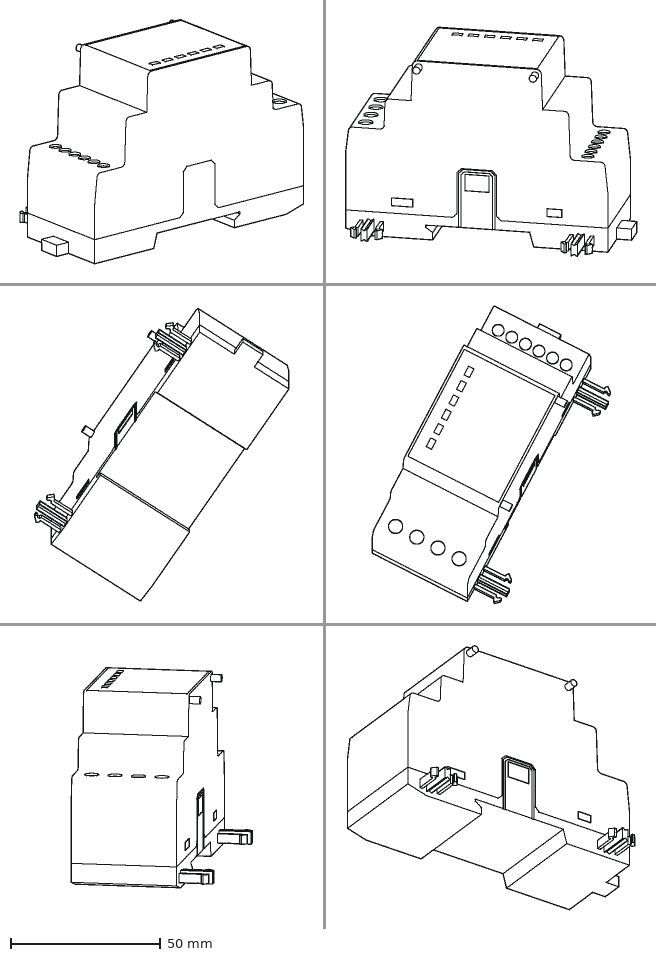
import cadquery as cq
import math


WIDTH = 35.9
HALF_LENGTH = 44.9
HEIGHT = 63.0
SEAM_Z = 8.55

TOP_HALF = 22.0
SHOULDER_Z = 48.8
SHOULDER_HALF = 31.4
BACK_STEP_Z = 38.0
BACK_STEP_Y = 43.9
BACK_WALL_Z = 29.4
FRONT_STEP_Z = 31.7
FRONT_STEP_Y = -43.8
FRONT_WALL_Z = 20.8
DRAFT = math.tan(math.radians(2))
TOP_ROUND = 1.7
STEP_ROUND = 1.5

HOLE_DEPTH = 0.8
BACK_HOLES = 4
BACK_HOLE_RADIUS = 2.4
BACK_HOLE_PITCH = 8.0
BACK_HOLE_Y = 39.3
FRONT_HOLES = 6
FRONT_HOLE_RADIUS = 2.0
FRONT_HOLE_PITCH = 5.1
FRONT_HOLE_Y = -37.0

PIN_RADIUS = 1.2
PIN_LENGTH = 3.5
PIN_Y = 19.95
PIN_Z = 60.8
MARK_RISE = 0.2
MARK_BOTTOM_Z = 11.2
MARK_HEIGHT = 2.8
BACK_MARK_Y = 25.6
BACK_MARK_LENGTH = 7.2
FRONT_MARK_Y = -26.6
FRONT_MARK_LENGTH = 5.0

PANEL_MARGIN = 0.9
PANEL_HALF = 20.5
PANEL_THICKNESS = 0.95
LIGHTS = 6
LIGHT_PITCH = 5.5
LIGHT_LENGTH = 3.3
LIGHT_WIDTH = 2.0
LIGHT_X = 30.1
LIGHT_ROW_Y = -0.7

SLOT_Z = 5.1
BACK_LIP_Y = 15.1
BACK_LIP_Z = 2.7
SLOT_BACK_Y = 17.6
UNDERCUT_Z = 4.4
SLOT_FRONT_Y = -18.05
FRONT_FOOT_Y = -19.5
BEVEL_Y = 37.4
BEVEL_Z = 2.1
TONGUE_HALF = 6.7
TONGUE_TOP_Z = 26.0
TONGUE_CHAMFER = 1.5
GROOVE_HALF = 6.3
GROOVE_TOP_Z = 25.7
GROOVE_WIDTH = 0.9
GROOVE_DEPTH = 0.2
WINDOW_LENGTH = 8.3
WINDOW_BOTTOM_Z = 18.2
WINDOW_HEIGHT = 5.8
WINDOW_DEPTH = 0.2
TAB_WIDTH = 8.1
TAB_REACH = 95 - 2 * HALF_LENGTH
TAB_HEIGHT = 4.0

CONNECTOR_Y = 36.0
CONNECTOR_Z = 3.8
BLADE_OFFSET = 0.3
BLADE_REACH = 10.9
BLADE_WIDTH = 2.2
BLADE_HEIGHT = 4.3
BLADE_FLAT = 0.2
BLADE_NOTCH = 0.6
HOOK_HEIGHT = 3.1
ARM_INNER = 2.9
ARM_OUTER = 4.1


def side_plane(x=0):
    """Sketch plane at x whose axes are Y and Z, so that extrusions run along +X."""
    return cq.Workplane("YZ", origin=(x, 0, 0))


def tongue_outline(half, top_z, bottom_z, chamfer):
    """Upright strip centred on Y with its two upper corners chamfered."""
    return [
        (-half, bottom_z),
        (-half, top_z - chamfer),
        (-half + chamfer, top_z),
        (half - chamfer, top_z),
        (half, top_z - chamfer),
        (half, bottom_z),
    ]


def seam_outline():
    """Upper edge of the base from -Y to +Y: flat seam, flared tongue, flat seam."""
    flare = TONGUE_HALF + TONGUE_CHAMFER
    tongue = tongue_outline(TONGUE_HALF, TONGUE_TOP_Z, SEAM_Z + TONGUE_CHAMFER, TONGUE_CHAMFER)
    return [(-HALF_LENGTH, SEAM_Z), (-flare, SEAM_Z), *tongue, (flare, SEAM_Z), (HALF_LENGTH, SEAM_Z)]


def raised_mark(center_y, length):
    """Low rectangular pad on the connector side of the housing."""
    center_z = MARK_BOTTOM_Z + MARK_HEIGHT / 2
    return side_plane().center(center_y, center_z).rect(length, MARK_HEIGHT).extrude(-MARK_RISE)


def round_edges(body, places, radius):
    """Round the X-direction edges that pass through the given (y, z) places."""
    for y, z in places:
        edge = cq.selectors.NearestToPointSelector((WIDTH / 2, y, z))
        body = body.edges("|X").edges(edge).fillet(radius)
    return body


def hole_row(count, pitch, y, top_z, radius):
    """Row of shallow screw holes across the module, sunk from a step."""
    return (
        cq.Workplane("XY", origin=(WIDTH / 2, y, top_z - HOLE_DEPTH))
        .rarray(pitch, 0.95, count, 1)
        .circle(radius)
        .extrude(HOLE_DEPTH)
    )


def make_panel_blank():
    panel_width = WIDTH - 2 * PANEL_MARGIN
    return cq.Workplane("XY", origin=(WIDTH / 2, 0, HEIGHT - PANEL_THICKNESS)).rect(
        panel_width, 2 * PANEL_HALF
    ).extrude(PANEL_THICKNESS)


def make_housing():
    top_foot = TOP_HALF + DRAFT * (HEIGHT - SHOULDER_Z)
    back_corner = (SHOULDER_HALF + DRAFT * (SHOULDER_Z - BACK_STEP_Z), BACK_STEP_Z)
    front_corner = (-SHOULDER_HALF - DRAFT * (SHOULDER_Z - FRONT_STEP_Z), FRONT_STEP_Z)
    step_edges = [
        (BACK_STEP_Y, BACK_STEP_Z),
        back_corner,
        (SHOULDER_HALF, SHOULDER_Z),
        (-SHOULDER_HALF, SHOULDER_Z),
        front_corner,
        (FRONT_STEP_Y, FRONT_STEP_Z),
    ]
    top_edges = [(TOP_HALF, HEIGHT), (-TOP_HALF, HEIGHT)]
    outline = [
        *seam_outline(),
        (HALF_LENGTH, BACK_WALL_Z),
        *step_edges[:3],
        (top_foot, SHOULDER_Z),
        *top_edges,
        (-top_foot, SHOULDER_Z),
        *step_edges[3:],
        (-HALF_LENGTH, FRONT_WALL_Z),
    ]
    housing = side_plane().polyline(outline).close().extrude(WIDTH)
    housing = round_edges(housing, step_edges, STEP_ROUND)
    housing = round_edges(housing, top_edges, TOP_ROUND)

    pins = side_plane().pushPoints([(PIN_Y, PIN_Z), (-PIN_Y, PIN_Z)]).circle(PIN_RADIUS).extrude(-PIN_LENGTH)
    return (
        housing.union(pins)
        .union(raised_mark(BACK_MARK_Y, BACK_MARK_LENGTH))
        .union(raised_mark(FRONT_MARK_Y, FRONT_MARK_LENGTH))
        .cut(make_panel_blank())
        .cut(hole_row(BACK_HOLES, BACK_HOLE_PITCH, BACK_HOLE_Y, BACK_STEP_Z, BACK_HOLE_RADIUS))
        .cut(hole_row(FRONT_HOLES, FRONT_HOLE_PITCH, FRONT_HOLE_Y, FRONT_STEP_Z, FRONT_HOLE_RADIUS))
    )


def make_blade():
    """Connector blade with a V groove along its top and its bottom, set slightly towards +Y."""
    side = BLADE_WIDTH / 2
    top = BLADE_HEIGHT / 2
    shoulder = side - BLADE_FLAT
    valley = top - BLADE_NOTCH
    outline = [
        (-side, -top),
        (-shoulder, -top),
        (0, -valley),
        (shoulder, -top),
        (side, -top),
        (side, top),
        (shoulder, top),
        (0, valley),
        (-shoulder, top),
        (-side, top),
    ]
    return side_plane().center(BLADE_OFFSET, 0).polyline(outline).close().extrude(-BLADE_REACH)


def make_hook():
    """Connector arm on the +Y side of its blade, ending in an outward barb with a notch behind it."""
    outline = [
        (0, ARM_INNER),
        (-7.9, ARM_INNER),
        (-8.3, 3.6),
        (-8.9, 3.6),
        (-9.3, 3.2),
        (-10.0, 3.2),
        (-10.0, 4.0),
        (-8.4, 5.4),
        (-7.6, 4.7),
        (-7.6, ARM_OUTER),
        (0, ARM_OUTER),
    ]
    return cq.Workplane("XY").polyline(outline).close().extrude(HOOK_HEIGHT / 2, both=True)


def make_connector():
    hook = make_hook()
    return make_blade().add(hook).add(hook.mirror("XZ"))


def cut_tongue_details(base):
    """Groove that follows the tongue edge down to the rail slot, and the window inside it."""
    outer = tongue_outline(GROOVE_HALF, GROOVE_TOP_Z, SLOT_Z, TONGUE_CHAMFER)
    inner = tongue_outline(
        GROOVE_HALF - GROOVE_WIDTH, GROOVE_TOP_Z - GROOVE_WIDTH, SLOT_Z, TONGUE_CHAMFER - GROOVE_WIDTH / 2
    )
    groove = side_plane().polyline(outer).close().extrude(GROOVE_DEPTH)
    groove = groove.cut(side_plane().polyline(inner).close().extrude(GROOVE_DEPTH))
    window_center_z = WINDOW_BOTTOM_Z + WINDOW_HEIGHT / 2
    window = side_plane().center(0, window_center_z).rect(WINDOW_LENGTH, WINDOW_HEIGHT).extrude(WINDOW_DEPTH)
    return base.cut(groove).cut(window)


def make_base():
    outline = [
        *seam_outline(),
        (HALF_LENGTH, BEVEL_Z),
        (BEVEL_Y, 0),
        (BACK_LIP_Y, 0),
        (BACK_LIP_Y, BACK_LIP_Z),
        (SLOT_BACK_Y, UNDERCUT_Z),
        (SLOT_BACK_Y, SLOT_Z),
        (SLOT_FRONT_Y, SLOT_Z),
        (FRONT_FOOT_Y, 0),
        (-HALF_LENGTH, 0),
    ]
    base = side_plane().polyline(outline).close().extrude(WIDTH)
    base = cut_tongue_details(base)

    tab = cq.Workplane("XY").box(TAB_WIDTH, TAB_REACH, TAB_HEIGHT, centered=(True, False, False))
    base = base.union(tab.translate((WIDTH / 2, -HALF_LENGTH - TAB_REACH, 0)))
    for y in (CONNECTOR_Y, -CONNECTOR_Y):
        for piece in make_connector().vals():
            base = base.union(cq.Workplane(piece.translate(cq.Vector(0, y, CONNECTOR_Z))))
    return base


def make_light(index):
    """One light window, set flush into the panel and as deep as the panel is thick."""
    y = LIGHT_ROW_Y + (index - (LIGHTS - 1) / 2) * LIGHT_PITCH
    return (
        cq.Workplane("XY", origin=(LIGHT_X, y, HEIGHT - PANEL_THICKNESS))
        .rect(LIGHT_WIDTH, LIGHT_LENGTH)
        .extrude(PANEL_THICKNESS)
    )


def make_panel(lights):
    panel = make_panel_blank()
    for light in lights:
        panel = panel.cut(light)
    return panel


housing = make_housing()
base = make_base()
lights = [make_light(index) for index in range(LIGHTS)]
panel = make_panel(lights)

result = cq.Compound.makeCompound(
    [housing.val(), base.val(), panel.val(), *[light.val() for light in lights]]
)